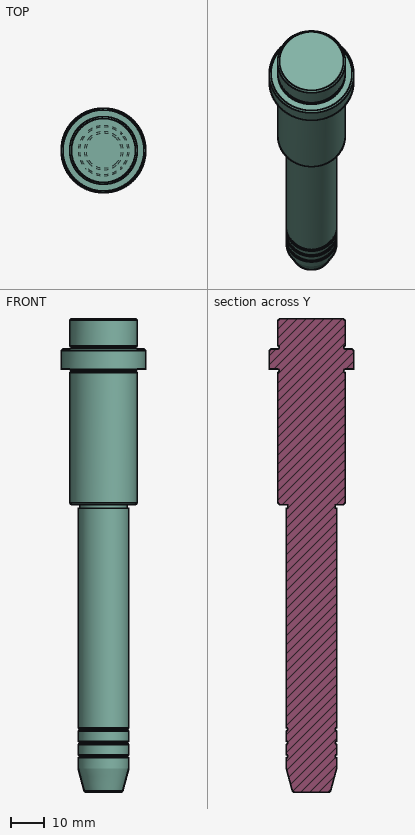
import cadquery as cq
import math

total_length = 140.0
body_diameter = 20.0
collar_diameter = 25.0
shank_diameter = 15.0

head_length = 9.0
collar_thickness = 6.0
sleeve_length = 40.0
tip_length = 7.0
tip_half_angle = 15.0

edge_chamfer = 0.5
tip_edge_chamfer = 0.4
groove_width = 1.0
groove_depth = 0.4
groove_floor_width = 0.34
shank_groove_count = 3
shank_groove_pitch = 4 * groove_width
middle_groove_bottom = 14.1

collar_top = total_length - head_length
collar_bottom = collar_top - collar_thickness
sleeve_bottom = collar_bottom - sleeve_length
tip_diameter = shank_diameter - 2 * tip_length * math.tan(math.radians(tip_half_angle))


def cylinder(diameter, bottom, top):
    return cq.Workplane("XY").workplane(offset=bottom).circle(diameter / 2).extrude(top - bottom)


def tapered_groove(diameter, bottom):
    """Ring that cuts a groove with sloped walls and a narrow flat floor."""
    surface = diameter / 2
    floor = surface - groove_depth
    outside = surface + groove_depth
    top = bottom + groove_width
    middle = bottom + groove_width / 2
    profile = [
        (outside, bottom),
        (surface, bottom),
        (floor, middle - groove_floor_width / 2),
        (floor, middle + groove_floor_width / 2),
        (surface, top),
        (outside, top),
    ]
    return cq.Workplane("XZ").polyline(profile).close().revolve(360, (0, 0), (0, 1))


def square_groove(diameter, bottom):
    """Ring that cuts a square groove into a cylinder of the given diameter."""
    floor_diameter = diameter - 2 * groove_depth
    top = bottom + groove_width
    return cylinder(diameter, bottom, top).cut(cylinder(floor_diameter, bottom, top))


tip = (
    cq.Workplane("XY")
    .circle(tip_diameter / 2)
    .workplane(offset=tip_length)
    .circle(shank_diameter / 2)
    .loft(ruled=True)
    .faces("<Z")
    .chamfer(tip_edge_chamfer)
)
shank = cylinder(shank_diameter, tip_length, sleeve_bottom)
sleeve = cylinder(body_diameter, sleeve_bottom, collar_bottom).faces("<Z").chamfer(edge_chamfer)
collar = cylinder(collar_diameter, collar_bottom, collar_top).faces(">Z").chamfer(edge_chamfer)
head = cylinder(body_diameter, collar_top, total_length).faces(">Z").chamfer(edge_chamfer)
result = tip.union(shank).union(sleeve).union(collar).union(head)

result = result.cut(tapered_groove(body_diameter, collar_top))
result = result.cut(tapered_groove(body_diameter, collar_bottom - groove_width))
result = result.cut(square_groove(shank_diameter, sleeve_bottom - groove_width))

for index in range(shank_groove_count):
    steps_from_middle = index - (shank_groove_count - 1) / 2
    groove_bottom = middle_groove_bottom + steps_from_middle * shank_groove_pitch
    result = result.cut(tapered_groove(shank_diameter, groove_bottom))